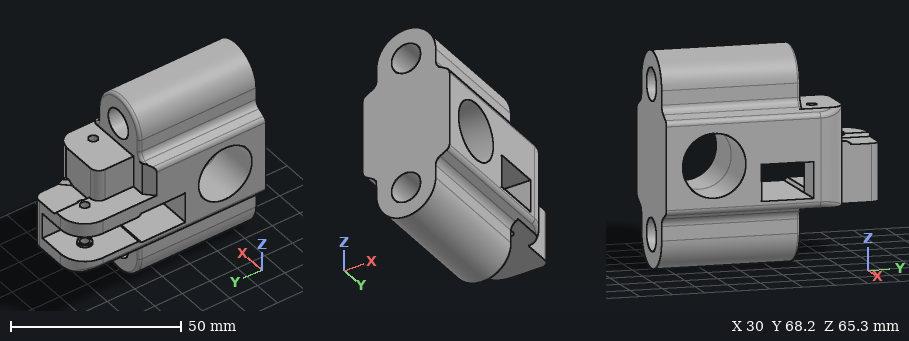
import cadquery as cq
import math

total_length = 68.2
rail_length = 42.7
half_width = 15.0
lug_half_height = 15.0
rail_radius = 10.2
rail_offset = 22.47
rail_bore = 10.0
rail_end_fillet = 1.0
shoulder_angle = 30.0
shoulder_meet_x = 12.7
shoulder_fillet = 2.0
root_fillet = 3.0

lug_round = 8.9
pin_diameter = 3.0
pin_x = half_width - lug_round
long_pin_y = total_length - lug_round
short_lug_length = 56.2
short_pin_y = short_lug_length - lug_round
lug_inner_x = 7.6
inner_round = 3.1
lug_crest_x = 3.4
long_lug_top = 3.6
notch_start_y = 39.7

slot_top = -1.35
slot_bottom = -10.6
slot_depth_x = 2.85
window_top = -0.5
window_bottom = -11.45
window_start_y = 29.25
window_end_y = 45.2
slot_bevel_y = 46.25
wall_bevel_y = 47.8
cross_bore = 19.4
cross_bore_y = 14.7

washer_base = 4.8
washer_height = 0.6
washer_taper = 15.0
seat_radius = 2.5
recess_edge_x = -4.0
recess_depth = 1.1
recess_corner_y = 57.75

shoulder_slope = math.tan(math.radians(shoulder_angle))
edge_z = lug_half_height - (half_width - shoulder_meet_x) * shoulder_slope

MARGIN = 6.8


def block(x_range, y_range, z_range):
    """Axis-aligned box between pairs of limits."""
    sizes = [high - low for low, high in (x_range, y_range, z_range)]
    return cq.Workplane("XY").box(*sizes, centered=False).translate((x_range[0], y_range[0], z_range[0]))


def prism(points, bottom, top):
    """Plan outline raised between two heights."""
    return cq.Workplane("XY").workplane(offset=bottom).polyline(points).close().extrude(top - bottom)


def rail_body(length):
    """Shouldered section carrying both rounded rails, extruded along Y."""
    root_z = lug_half_height + (shoulder_meet_x - rail_radius) * shoulder_slope
    section = (
        cq.Workplane("XZ")
        .moveTo(half_width, -edge_z)
        .lineTo(half_width, edge_z)
        .lineTo(rail_radius, root_z)
        .lineTo(rail_radius, rail_offset)
        .threePointArc((0, rail_offset + rail_radius), (-rail_radius, rail_offset))
        .lineTo(-rail_radius, root_z)
        .lineTo(-half_width, edge_z)
        .lineTo(-half_width, -edge_z)
        .lineTo(-rail_radius, -root_z)
        .lineTo(-rail_radius, -rail_offset)
        .threePointArc((0, -rail_offset - rail_radius), (rail_radius, -rail_offset))
        .lineTo(rail_radius, -root_z)
        .close()
        .extrude(-length)
    )
    reach = 0.1
    for corner_x, corner_z, radius in ((half_width, edge_z, shoulder_fillet), (rail_radius, root_z, root_fillet)):
        for sign_x, sign_z in ((1, 1), (1, -1), (-1, 1), (-1, -1)):
            corners = cq.selectors.BoxSelector(
                (sign_x * corner_x - reach, 0, sign_z * corner_z - reach),
                (sign_x * corner_x + reach, length, sign_z * corner_z + reach),
            )
            section = section.edges(corners).fillet(radius)
    return section


def lug(side, length):
    """One lug with its shoulder blended along the side and around the rounded corner."""
    crest_z = edge_z + (half_width - lug_crest_x) * shoulder_slope
    outline = [
        (-lug_inner_x, -crest_z),
        (lug_crest_x, -crest_z),
        (half_width, -edge_z),
        (half_width, edge_z),
        (lug_crest_x, crest_z),
        (-lug_inner_x, crest_z),
    ]
    blank = cq.Workplane("XZ").polyline(outline).close().extrude(-length)
    plan = block((-lug_inner_x, half_width), (0, length), (-crest_z, crest_z))
    plan = plan.edges("|Z and >Y and >X").fillet(lug_round)
    plan = plan.edges("|Z and >Y and <X").fillet(inner_round)
    blank = blank.intersect(plan)
    for z in (edge_z, -edge_z):
        shoulder = cq.selectors.NearestToPointSelector((half_width, length / 2, z))
        blank = blank.edges(shoulder).fillet(shoulder_fillet)
    slab = block((-half_width, half_width), (0, length), (-lug_half_height, lug_half_height))
    blank = blank.intersect(slab)
    return blank if side > 0 else blank.mirror("YZ")


def upper_notch():
    """Space above the long lug, leaving the raised short lug."""
    top = lug_half_height
    bevel_x = -half_width + rail_length - notch_start_y
    outline = [
        (-half_width, notch_start_y),
        (bevel_x, rail_length),
        (half_width, rail_length),
        (half_width, total_length),
        (-half_width, total_length),
    ]
    raised = block((-lug_inner_x, half_width), (0, short_lug_length), (long_lug_top, top))
    raised = raised.edges("|Z and >Y and <X").fillet(inner_round)
    return prism(outline, long_lug_top, top).cut(raised)


def fork_slot():
    """Slot open to -X and the end, with a slanted inner wall and flared mouth to the window."""
    slant = wall_bevel_y - window_end_y
    outline = [
        (-half_width - MARGIN, window_end_y),
        (slot_depth_x + slant, window_end_y),
        (slot_depth_x, wall_bevel_y),
        (slot_depth_x, total_length + MARGIN),
        (-half_width - MARGIN, total_length + MARGIN),
    ]
    flared_side = [
        (window_end_y, window_bottom),
        (slot_bevel_y, slot_bottom),
        (total_length + MARGIN, slot_bottom),
        (total_length + MARGIN, slot_top),
        (slot_bevel_y, slot_top),
        (window_end_y, window_top),
    ]
    side = cq.Workplane("YZ").polyline(flared_side).close().extrude(half_width + MARGIN, both=True)
    return prism(outline, window_bottom, window_top).intersect(side)


def top_recess():
    """Shallow recess with 45 degree sides, leaving a round seat at the pin hole."""

    def outline(inset):
        side_x = lug_inner_x + MARGIN
        edge_x = recess_edge_x + inset
        offset = recess_corner_y - lug_inner_x + inset * math.sqrt(2)
        return [
            (edge_x, edge_x + offset),
            (side_x, side_x + offset),
            (side_x, total_length + MARGIN),
            (edge_x, total_length + MARGIN),
        ]

    recess = (
        cq.Workplane("XY")
        .workplane(offset=long_lug_top)
        .polyline(outline(0))
        .close()
        .workplane(offset=-recess_depth)
        .polyline(outline(recess_depth))
        .close()
        .loft(ruled=True)
    )
    seat = cq.Workplane("XY").center(-pin_x, long_pin_y).circle(seat_radius).extrude(long_lug_top)
    return recess.cut(seat).cut(block((-half_width, half_width), (0, short_lug_length), (0, long_lug_top)))


def cylinder_z(x, y, diameter):
    """Vertical cylinder running right through the lugs."""
    return cq.Workplane("XY").center(x, y).circle(diameter / 2).extrude(lug_half_height + MARGIN, both=True)


rails = rail_body(rail_length).faces(">Y").edges().fillet(rail_end_fillet)
lugs = lug(-1, total_length).union(lug(1, short_lug_length))
result = rails.union(lugs).cut(upper_notch())

window = block(
    (-half_width - MARGIN, half_width + MARGIN), (window_start_y, window_end_y), (window_bottom, window_top)
)
result = result.cut(fork_slot()).cut(window).cut(top_recess())

washer = (
    cq.Workplane("XY")
    .workplane(offset=slot_bottom)
    .center(-pin_x, long_pin_y)
    .circle(washer_base / 2)
    .extrude(washer_height, taper=washer_taper)
)
result = result.union(washer)

for sign in (1, -1):
    rail_hole = cq.Workplane("XZ").center(0, sign * rail_offset).circle(rail_bore / 2).extrude(-rail_length)
    result = result.cut(rail_hole)
for x, y in ((-pin_x, long_pin_y), (pin_x, short_pin_y)):
    result = result.cut(cylinder_z(x, y, pin_diameter))
cross_hole = cq.Workplane("YZ").center(cross_bore_y, 0).circle(cross_bore / 2)
result = result.cut(cross_hole.extrude(half_width + MARGIN, both=True))